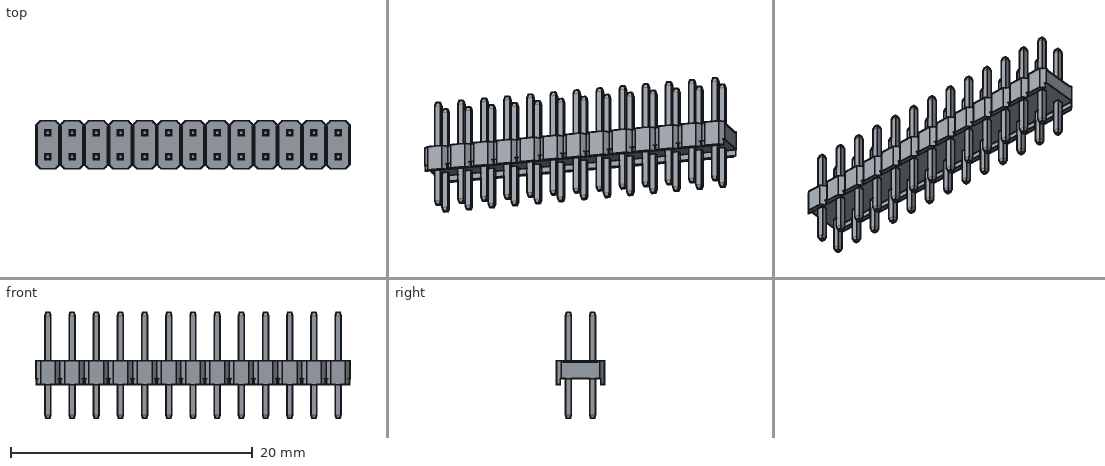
import cadquery as cq

positions = 13
length = 26.0
pitch = length / positions
body_width = 2 * pitch
body_height = pitch
corner_chamfer = 0.4

leg_thickness = 0.35
channel_depth = 0.5

groove_depth = 0.15
groove_top_width = 0.2
groove_end_margin = 0.1
groove_end_slope = 0.13
groove_top_length = body_width - 2 * (corner_chamfer + groove_end_margin)

pin_size = 0.5
pin_length = 8.8
pin_above_body = 2 * pitch
tip_length = 0.3
tip_size = 0.3

first_segment_x = (pitch - length) / 2
segment_xs = [first_segment_x + i * pitch for i in range(positions)]
boundary_xs = [i * pitch - length / 2 for i in range(positions + 1)]
row_ys = [-pitch / 2, pitch / 2]


def make_segment():
    """Body block with chamfered upright edges, its underside at Z = 0."""
    block = cq.Workplane("XY").box(pitch, body_width, body_height, centered=(True, True, False))
    return block.edges("|Z").chamfer(corner_chamfer)


def make_groove():
    """Cutter for one V-groove running along Y: a triangular section with its ends sloped inwards."""
    root_z = body_height - groove_depth
    half_top = groove_top_length / 2
    half_root = half_top - groove_end_slope
    half_width = groove_top_width / 2
    v_section = (
        cq.Workplane("XZ")
        .polyline([(-half_width, body_height), (half_width, body_height), (0, root_z)])
        .close()
        .extrude(half_top, both=True)
    )
    side_profile = (
        cq.Workplane("YZ")
        .polyline(
            [(-half_top, body_height), (half_top, body_height), (half_root, root_z), (-half_root, root_z)]
        )
        .close()
        .extrude(half_width, both=True)
    )
    return v_section.intersect(side_profile)


def make_tip(base_z, end_z):
    """Tapered pin tip on the Z axis, from the full pin size down to the tip size."""
    return (
        cq.Workplane("XY", origin=(0, 0, base_z))
        .rect(pin_size, pin_size)
        .workplane(offset=end_z - base_z)
        .rect(tip_size, tip_size)
        .loft(ruled=True)
    )


def make_pin():
    """Square pin along the Z axis, tapered at both ends."""
    top = body_height + pin_above_body
    bottom = top - pin_length
    shaft_top = top - tip_length
    shaft_bottom = bottom + tip_length
    shaft = (
        cq.Workplane("XY", origin=(0, 0, shaft_bottom))
        .rect(pin_size, pin_size)
        .extrude(shaft_top - shaft_bottom)
    )
    return shaft.union(make_tip(shaft_top, top)).union(make_tip(shaft_bottom, bottom))


segment = make_segment()
body = cq.Workplane("XY")
for x in segment_xs:
    body = body.union(segment.translate((x, 0, 0)))

channel_width = body_width - 2 * leg_thickness
channel = cq.Workplane("XY").box(length, channel_width, channel_depth, centered=(True, True, False))
body = body.cut(channel)

groove = make_groove()
for x in boundary_xs:
    body = body.cut(groove.translate((x, 0, 0)))

pin = make_pin()
result = body
for x in segment_xs:
    for y in row_ys:
        result = result.union(pin.translate((x, y, 0)))